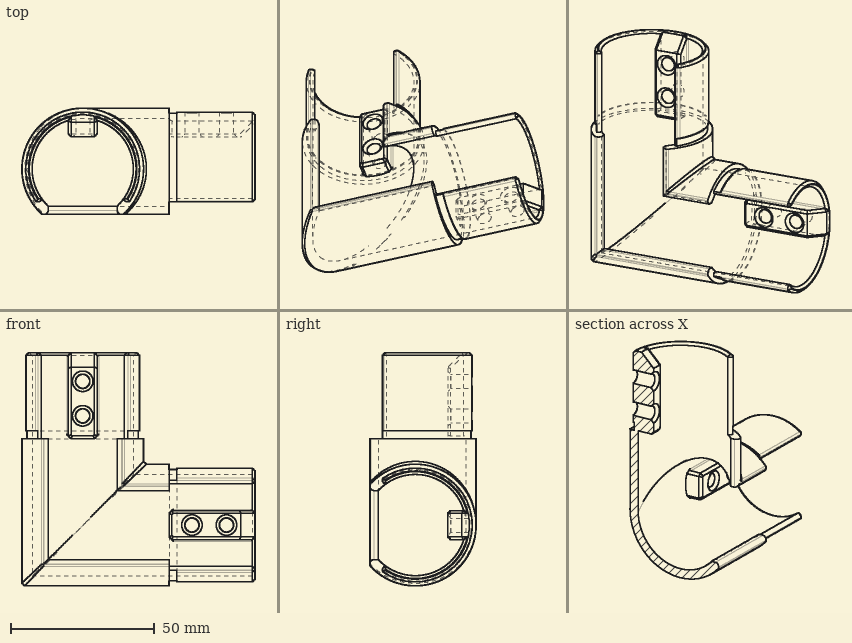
import cadquery as cq
import math


overall_length = 81.2

collar_radius = 21.2
spigot_radius = 19.8
groove_radius = 19.4
bore_radius = 17.6

leg_end = overall_length - collar_radius
collar_end = 30.05
groove_width = 2.8
groove_end = collar_end + groove_width
rim_chamfer = 1.0

collar_opening_half_width = 12.0
collar_lip_y = -15.8
collar_lip_round = 1.5
spigot_opening_half_width = 14.4
spigot_lip_y = -11.45
spigot_lip_round = 1.2
outer_lip_round = 1.0

boss_half_width = 5.0
boss_face_y = 11.2
boss_chamfer = 1.0
boss_slope_length = 5.0
boss_root_fillet = 0.4
hole_diameter = 4.9
countersink_diameter = 7.15
hole_distances_from_end = (10.0, 22.0)

mitre_bevel = 1.0
bevel_depth = mitre_bevel * math.sqrt(0.5)
mitre_corner = collar_radius * math.sqrt(2)

reach = 2 * collar_radius


def cylinder(radius, start, end):
    return cq.Workplane("XY").workplane(offset=start).circle(radius).extrude(end - start)


def opening_outline(start, half_width, lip_y, lip_round):
    """+X half of the outline removed from the open side, with a rounded lip corner."""
    top_y = lip_y / 2
    corner_shift = lip_round * (1 - math.sqrt(0.5))
    return (
        start.moveTo(0, top_y)
        .lineTo(half_width, top_y)
        .lineTo(half_width, lip_y + lip_round)
        .threePointArc(
            (half_width + corner_shift, lip_y + corner_shift),
            (half_width + lip_round, lip_y),
        )
        .lineTo(reach, lip_y)
        .lineTo(reach, -reach)
        .lineTo(0, -reach)
        .close()
    )


def opening(half_width, lip_y, lip_round, start, end):
    """Body that cuts away the open side between two lengthwise lips."""
    base = cq.Workplane("XY").workplane(offset=start)
    half = opening_outline(base, half_width, lip_y, lip_round).extrude(end - start)
    return half.union(half.mirror("YZ"))


def make_collar_slot():
    return opening(
        collar_opening_half_width, collar_lip_y, collar_lip_round, -reach, collar_end
    )


def make_spigot_lip_bevel():
    """Body that bevels the lips where they meet the rim of the spigot."""
    base = cq.Workplane("XY").workplane(offset=leg_end - rim_chamfer)
    lower = opening_outline(
        base, spigot_opening_half_width, spigot_lip_y, spigot_lip_round
    )
    upper = opening_outline(
        lower.workplane(offset=rim_chamfer),
        spigot_opening_half_width + rim_chamfer,
        spigot_lip_y + rim_chamfer,
        spigot_lip_round - rim_chamfer,
    )
    half = upper.loft(ruled=True)
    return half.union(half.mirror("YZ"))


def select_lengthwise_edges(body, radius, y):
    """Edges parallel to Z that lie on the given radius at the given Y, on both sides."""
    x = math.sqrt(radius**2 - y**2)
    margin = 0.04
    corner = cq.Vector(x + margin, y + margin, leg_end + margin)
    opposite = cq.Vector(-x - margin, y - margin, -reach - margin)
    box = cq.selectors.BoxSelector(corner, opposite)
    return body.edges("|Z").edges(box)


def open_bar(radius, start, end, slot, lip_y):
    """Round bar with its -Y side cut open and the outer corners of the lips rounded."""
    bar = cylinder(radius, start, end).cut(slot)
    return select_lengthwise_edges(bar, radius, lip_y).fillet(outer_lip_round)


def make_spigot():
    """Grooved spigot, not yet bored, with its rim bevelled on the outside."""
    slot = opening(
        spigot_opening_half_width, spigot_lip_y, spigot_lip_round, collar_end, leg_end
    )
    groove = cylinder(groove_radius, collar_end, groove_end).cut(slot)
    sleeve = open_bar(spigot_radius, groove_end, leg_end, slot, spigot_lip_y)
    rim_bevel = cylinder(spigot_radius, groove_end, leg_end).faces(">Z").chamfer(rim_chamfer)
    return groove.union(sleeve.intersect(rim_bevel)).cut(make_spigot_lip_bevel())


def make_bore():
    """Bore through the whole leg, flared where it meets the rim of the spigot."""
    flare_start = cq.Vector(0, 0, leg_end - rim_chamfer)
    flare = cq.Solid.makeCone(
        bore_radius, bore_radius + rim_chamfer, rim_chamfer, flare_start
    )
    return cylinder(bore_radius, -reach, leg_end).union(cq.Workplane(flare))


def make_boss():
    """Screw boss with a 45 degree lead-in at the open end and bevelled edges."""
    lead_in_y = boss_face_y + boss_slope_length
    boss = (
        cq.Workplane("YZ")
        .moveTo(spigot_radius, collar_end)
        .lineTo(boss_face_y, collar_end)
        .lineTo(boss_face_y, leg_end - boss_slope_length)
        .lineTo(lead_in_y, leg_end)
        .lineTo(spigot_radius, leg_end)
        .close()
        .extrude(boss_half_width, both=True)
    )
    boss = boss.edges("|Y and <Z").chamfer(boss_chamfer)
    face_rim = boss.faces("<Y").edges("not(|X and >Z)")
    slope_sides = boss.faces("<(0, 1, -1)").edges("not |X")
    boss = boss.newObject(face_rim.vals() + slope_sides.vals()).chamfer(boss_chamfer)
    rim_bevel = (
        cq.Workplane("XY")
        .box(2 * boss_half_width, 2 * reach, 2 * leg_end)
        .edges("|Y and >Z")
        .chamfer(rim_chamfer)
    )
    rim_cylinder = cylinder(spigot_radius - rim_chamfer, collar_end, leg_end)
    return boss.intersect(rim_bevel).intersect(rim_cylinder)


def make_screw_holes():
    """Countersunk holes through the boss, entering from its flat face."""
    holes = cq.Workplane("XY")
    countersink_depth = (countersink_diameter - hole_diameter) / 2
    for distance in hole_distances_from_end:
        mouth = cq.Vector(0, boss_face_y, leg_end - distance)
        toward_wall = cq.Vector(0, 1, 0)
        drill = cq.Solid.makeCylinder(hole_diameter / 2, reach, mouth, toward_wall)
        countersink = cq.Solid.makeCone(
            countersink_diameter / 2,
            hole_diameter / 2,
            countersink_depth,
            mouth,
            toward_wall,
        )
        holes = holes.add(drill).add(countersink)
    return holes.combine()


def make_leg():
    """One complete leg along +Z, trimmed to its side of the mitre plane x = z."""
    collar_slot = make_collar_slot()
    collar = open_bar(collar_radius, -reach, collar_end, collar_slot, collar_lip_y)
    beyond_mitre = (
        cq.Workplane("XZ")
        .polyline([(-reach, -reach), (reach, reach), (reach, -reach)])
        .close()
        .extrude(reach, both=True)
    )
    shell = collar.union(make_spigot()).cut(make_bore()).cut(beyond_mitre)
    body = shell.union(make_boss())
    root_y = math.sqrt(bore_radius**2 - boss_half_width**2)
    body = select_lengthwise_edges(body, bore_radius, root_y).fillet(boss_root_fillet)
    return body.cut(make_screw_holes())


def mirror_across_mitre(body):
    """Swap X and Z: a half turn about the mitre line, then a flip of Y."""
    return body.rotate((0, 0, 0), (1, 0, 1), 180).mirror("XZ")


def ellipse_prism(long_radius):
    """Elliptic prism whose axis lies along X = -Z, long across the mitre diagonal."""
    across = cq.Plane(origin=(0, 0, 0), xDir=(1, 0, 1), normal=(1, 0, -1))
    section = cq.Workplane(across).workplane(offset=-reach).ellipse(long_radius, collar_radius)
    return section.extrude(2 * reach)


def diagonal_wedge(half_angle_slope, diagonal_length):
    """Wedge opening from the origin along the mitre diagonal, towards +X +Z."""
    diagonal_step = diagonal_length * math.sqrt(0.5)
    inner = diagonal_step * (1 - half_angle_slope)
    outer = diagonal_step * (1 + half_angle_slope)
    return (
        cq.Workplane("XZ")
        .polyline([(0, 0), (inner, outer), (outer, inner)])
        .close()
        .extrude(reach, both=True)
    )


def make_valley_fill():
    """Thin shell segment that bevels the sharp valley on the inside of the elbow."""
    inside_corner = mitre_corner + bevel_depth
    wedge = diagonal_wedge(bevel_depth / inside_corner, 2 * reach)
    fill = ellipse_prism(inside_corner).intersect(wedge)
    core = cylinder(collar_radius - mitre_bevel, -reach, reach)
    for hollow in (core, make_collar_slot()):
        fill = fill.cut(hollow).cut(mirror_across_mitre(hollow))
    return fill


def make_ridge():
    """Sharp ridge to be planed off the outside of the elbow."""
    right_angle_slope = 1
    inside_half = diagonal_wedge(right_angle_slope, 4 * reach)
    outside_half = inside_half.rotate((0, 0, 0), (0, 1, 0), 180)
    return outside_half.cut(ellipse_prism(mitre_corner - bevel_depth))


leg = make_leg()
elbow = leg.union(mirror_across_mitre(leg))
result = elbow.cut(make_ridge()).union(make_valley_fill())